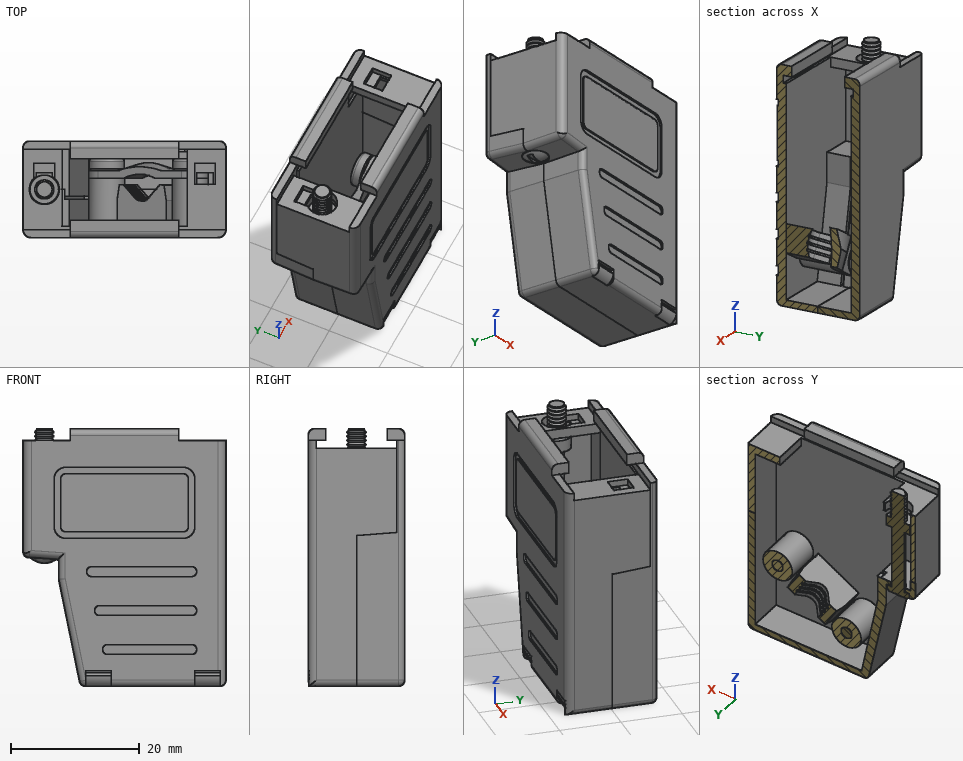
import cadquery as cq
import math


width = 31.5
depth = 15.0
height = 40.0
half_depth = depth / 2
side_radius = 1.3
edge_radius = 1.0

neck_x = 5.5
taper_top_z = 16.65
taper_foot_x = 8.9
shoulder_z = 20.0
shoulder_fall = 0.4
front_draft = 0.25
back_draft = 0.5

side_wall = 1.3
wall_y = half_depth - side_wall
rim_z = 38.15
deck_z = 36.95
deck_thickness = 1.6
tongue_left = 7.3
tongue_width = 16.9
tongue_depth = 2.75

joint_z = 23.4
joint_rise = 0.5

end_wall = 1.35
floor_wall = 1.2
front_inner_y = -5.7
cavity_neck_x = 7.2
cavity_foot_x = 10.2
shoulder_floor_z = 21.6
opening_left = 6.1
opening_right = 25.5
lining_y = 5.85
lining_right = 25.1
lining_step_z = 31.6
lip_end_y = -1.05
lip_thickness = 0.7
lip_gap = 0.5

window_size = 3.25
window_top_y = 4.05
window_ledge = 1.5
window_ledge_depth = 1.0
window_inset = 0.35
window_lefts = [1.7, 26.65]

label_x = 15.75
label_z = 28.5
label_width = 21.85
label_height = 11.05
label_radius = 1.85
label_groove_width = 1.0
label_groove_depth = 0.3
label_panel_depth = 0.1
grip_right = 26.95
grip_height = 1.5
grip_depth = 0.3
grip_count = 3
grip_length_step = 1.25
grip_length_bottom = 14.6
grip_bottom_z = 5.7
grip_pitch = 6.05

notch_lefts = [9.75, 26.7]
notch_width = 3.95
notch_top_z = 2.4
notch_depth = 0.5
notch_lip_root_z = 2.1
notch_lip_crest_z = 1.7
notch_lip_crest_recess = 0.1
notch_lip_bulge_recess = 0.5
notch_lip_bulge_z = 0.6
notch_lip_foot_recess = 1.3
foot_height = 2.0

jack_x = 3.3
jack_bore_radius = 2.3
thread_radius = 1.5
thread_core_radius = 1.2
thread_pitch = 0.65
thread_count = 8
thread_tip = 0.25
collar_radius = 2.25
collar_length = 2.0
shank_radius = 1.2
shank_bore_radius = 1.3
head_radius = 2.1
head_bore_radius = 2.1
head_seat_z = 20.7
head_rim_z = 19.9
head_end_z = 19.05
head_bulge_radius = 1.1
head_bulge_z = 19.3
head_slot_width = 0.9
head_slot_depth = 0.5

clamp_tilt = 30.0
clamp_x = 19.5
clamp_z = 11.2
pillar_radius = 2.8
pillar_top_y = 1.7
pillar_spacing_x = 12.95
pillar_span = pillar_spacing_x / math.cos(math.radians(clamp_tilt))
strap_thickness = 1.15
strap_arch_width = 8.15
strap_arch_inner_width = 5.6
strap_arch_rise = 0.65
strap_crown_rise = 1.3
saddle_width = 8.8
saddle_depth = 4.25
saddle_top_y = 0.7
saddle_top_inset = 0.4
saddle_taper_height = 2.4
vee_half_width = 3.25
vee_depth = 2.5
vee_flank_end = 1.35
vee_bottom_height = 0.65
tooth_count = 3
tooth_width = 0.3
tooth_depth = 0.2
clamp_head_radius = 2.7
clamp_head_height = 1.45
clamp_head_dome = 0.5
clamp_head_round = 0.45
clamp_head_chamfer = 0.3
clamp_shank_radius = 0.95
clamp_shank_length = 5.6


def box(x0, x1, y0, y1, z0, z1):
    return cq.Workplane("XY").box(x1 - x0, y1 - y0, z1 - z0, centered=False).translate((x0, y0, z0))


def half_envelope(face_y, draft):
    """Solid half of the hood from the joint plane out to one large face."""
    block = (
        cq.Workplane("XZ")
        .polyline([(0, 0), (width, 0), (width, height), (0, height)])
        .close()
        .extrude(-face_y)
    )
    taper = (
        cq.Workplane("XZ")
        .polyline([(0, 0), (taper_foot_x, 0), (neck_x, taper_top_z), (0, taper_top_z)])
        .close()
        .extrude(-face_y)
    )
    end = [(0, 0), (face_y, 0), (face_y, shoulder_z + draft), (0, shoulder_z)]
    end_wire = cq.Wire.makePolygon([cq.Vector(0, y, z) for y, z in end], close=True)
    under = cq.Solid.extrudeLinear(end_wire, [], cq.Vector(neck_x, 0, -shoulder_fall))
    half = block.cut(taper).cut(cq.Workplane(under))
    face = "<Y" if face_y < 0 else ">Y"
    corner_points = [(0, shoulder_z + draft / 2), (taper_foot_x, 0), (width, 0)]
    corners = cq.Workplane()
    for x, z in corner_points:
        corners = corners.add(half.edges(cq.NearestToPointSelector((x, face_y / 2, z))))
    half = half.newObject(corners.vals()).fillet(edge_radius)
    return half.faces(face).edges().fillet(edge_radius)


def wall_profile(inset):
    """Cavity outline in X and Z; the taper wall is cut deeper by the inset."""
    return [
        (end_wall, deck_z - deck_thickness),
        (end_wall, shoulder_floor_z),
        (cavity_neck_x - inset, shoulder_floor_z),
        (cavity_neck_x - inset, taper_top_z),
        (cavity_foot_x - inset, floor_wall),
        (width - end_wall, floor_wall),
        (width - end_wall, deck_z - deck_thickness),
    ]


def prism(points, y0, y1):
    """Outline in X and Z extruded from y0 to y1."""
    return cq.Workplane("XZ", origin=(0, y1, 0)).polyline(points).close().extrude(y1 - y0)


def y_cylinder(x, z, radius, y0, y1):
    return cq.Workplane("XZ", origin=(x, y1, z)).circle(radius).extrude(y1 - y0)


def z_cylinder(x, radius, z0, z1):
    return cq.Workplane("XY", origin=(x, 0, z0)).circle(radius).extrude(z1 - z0)


def tilt(body):
    """Move a clamp body from its own upright frame into the hood."""
    return body.rotate((0, 0, 0), (0, 1, 0), -clamp_tilt).translate((clamp_x, 0, clamp_z))


def hood():
    """Both shells as one hollow shape, before they are parted."""
    shape = half_envelope(-half_depth, front_draft)
    shape = shape.union(half_envelope(half_depth, back_draft))

    foot = box(notch_lefts[-1], width, -half_depth, -wall_y, 0, foot_height)
    shape = shape.union(foot.edges(">X and <Z").fillet(edge_radius))
    rounding = box(0, width, -half_depth, half_depth, 0, height).edges("|Z and <Y").fillet(side_radius)
    shape = shape.intersect(rounding)

    tongue_right = tongue_left + tongue_width
    tongue_y = half_depth - tongue_depth
    shape = shape.cut(box(0, tongue_left, -half_depth, half_depth, rim_z, height))
    shape = shape.cut(box(tongue_right, width, -half_depth, half_depth, rim_z, height))
    shape = shape.cut(box(0, width, -wall_y, wall_y, deck_z, rim_z))
    shape = shape.cut(box(0, width, -tongue_y, tongue_y, rim_z, height))

    shape = shape.cut(prism(wall_profile(0), front_inner_y, wall_y))
    shape = shape.cut(box(opening_left, opening_right, front_inner_y, wall_y, shoulder_floor_z, deck_z))
    groove = prism(wall_profile(lip_thickness), lip_end_y - lip_gap, lip_end_y)
    shape = shape.cut(groove)

    shape = shape.cut(z_cylinder(jack_x, jack_bore_radius, shoulder_floor_z, deck_z))
    shape = shape.cut(z_cylinder(jack_x, shank_bore_radius, head_seat_z, shoulder_floor_z))
    shape = shape.cut(z_cylinder(jack_x, head_bore_radius, 0, head_seat_z))
    return shape


def front_region():
    """Space taken by the front shell: the end walls above the joint, and all in
    front of Y = 0 but the lip."""
    corners = [
        (-half_depth, 0),
        (0, 0),
        (0, joint_z),
        (wall_y, joint_z + joint_rise),
        (wall_y, deck_z),
        (0, deck_z),
        (0, height),
        (-half_depth, height),
    ]
    region = cq.Workplane("YZ").polyline(corners).close().extrude(width)
    return region.cut(prism(wall_profile(lip_thickness), lip_end_y, 0))


def cut_windows(shell):
    """Square windows through the deck, each with a shallow ledge at its back."""
    for left in window_lefts:
        right = left + window_size
        ledge_y = window_top_y - window_ledge
        through_y = window_top_y - window_size
        window = box(left, right, through_y, window_top_y, deck_z - window_ledge_depth, deck_z)
        through = box(
            left + window_inset, right - window_inset, through_y, ledge_y, deck_z - deck_thickness, deck_z
        )
        window = window.union(through)
        shell = shell.cut(window)
    return shell


def label_block(margin, depth_in):
    """Rounded rectangle sunk into the front face, inset by the margin."""
    return (
        cq.Workplane("XZ", origin=(label_x, depth_in - half_depth, label_z))
        .rect(label_width - 2 * margin, label_height - 2 * margin)
        .extrude(depth_in)
        .edges("|Y")
        .fillet(label_radius - margin)
    )


def cut_decoration(shell):
    """Framed label panel and the row of grip slots."""
    frame = label_block(0, label_groove_depth).cut(label_block(label_groove_width, label_groove_depth))
    shell = shell.cut(frame).cut(label_block(label_groove_width, label_panel_depth))
    for row in range(grip_count):
        length = grip_length_bottom + row * grip_length_step
        slot = (
            cq.Workplane("XZ", origin=(grip_right - length / 2, grip_depth - half_depth, 0))
            .center(0, grip_bottom_z + row * grip_pitch)
            .slot2D(length, grip_height)
            .extrude(grip_depth)
        )
        shell = shell.cut(slot)
    return shell


def cut_notches(shell):
    """Pry notches at the foot of the front face, each with a rounded lip."""
    back_y = notch_depth - half_depth
    notch = (
        cq.Workplane("YZ")
        .moveTo(-half_depth, 0)
        .lineTo(-half_depth, notch_top_z)
        .lineTo(back_y, notch_top_z)
        .lineTo(back_y, notch_lip_root_z)
        .lineTo(notch_lip_crest_recess - half_depth, notch_lip_crest_z)
        .threePointArc(
            (notch_lip_bulge_recess - half_depth, notch_lip_bulge_z),
            (notch_lip_foot_recess - half_depth, 0),
        )
        .close()
        .extrude(notch_width)
    )
    for left in notch_lefts:
        shell = shell.cut(notch.translate((left, 0, 0)))
    return shell


def pillar_places():
    """X and Z of the two clamp pillars."""
    angle = math.radians(clamp_tilt)
    reach = pillar_span / 2
    return [
        (clamp_x + side * reach * math.cos(angle), clamp_z + side * reach * math.sin(angle))
        for side in (-1, 1)
    ]


def make_front_shell(whole):
    """Front shell with the deck, the label face and the clamp pillars."""
    shell = whole.intersect(front_region())
    shell = cut_windows(shell)
    shell = cut_decoration(shell)
    shell = cut_notches(shell)
    screw_end_y = pillar_top_y + strap_thickness - clamp_shank_length
    for x, z in pillar_places():
        shell = shell.union(y_cylinder(x, z, pillar_radius, front_inner_y, pillar_top_y))
        shell = shell.cut(y_cylinder(x, z, clamp_shank_radius, screw_end_y, pillar_top_y))
    return shell


def make_back_shell(whole):
    """Back shell with the inner lip and the raised lining of its wall."""
    shell = whole.cut(front_region())
    shell = shell.union(box(cavity_neck_x, lining_right, lining_y, wall_y, shoulder_floor_z, deck_z))
    lower_lining = prism(wall_profile(0), lining_y, wall_y)
    lower_lining = lower_lining.intersect(box(cavity_neck_x, width, 0, half_depth, 0, lining_step_z))
    return shell.union(lower_lining)


def make_jack_screw():
    """Threaded screw with a collar and a slotted domed head facing the cable end."""
    thread_top = height - thread_tip
    thread_end = thread_top - thread_count * thread_pitch
    profile = (
        cq.Workplane("XZ")
        .moveTo(0, head_end_z)
        .threePointArc((head_bulge_radius, head_bulge_z), (head_radius, head_rim_z))
        .lineTo(head_radius, head_seat_z)
        .lineTo(shank_radius, head_seat_z)
        .lineTo(shank_radius, thread_end - collar_length)
        .lineTo(collar_radius, thread_end - collar_length)
        .lineTo(collar_radius, thread_end)
        .lineTo(thread_core_radius, thread_end)
    )
    for turn in range(thread_count):
        root_z = thread_end + turn * thread_pitch
        profile = profile.lineTo(thread_radius, root_z + thread_pitch / 2)
        profile = profile.lineTo(thread_core_radius, root_z + thread_pitch)
    profile = profile.lineTo(thread_core_radius, height).lineTo(0, height).close()
    screw = profile.revolve(360, (0, 0), (0, 1))
    slot = box(
        -head_radius, head_radius, -head_slot_width / 2, head_slot_width / 2,
        head_end_z, head_end_z + head_slot_depth,
    )
    return screw.cut(slot).translate((jack_x, 0, 0))


def strap_section(rise, z):
    """Outline of the strap in X and Y, with its upper arch of the given height."""
    top_y = pillar_top_y + strap_thickness
    reach = pillar_span / 2 + pillar_radius
    outer = strap_arch_width / 2
    inner = strap_arch_inner_width / 2
    return (
        cq.Workplane("XY", origin=(0, 0, z))
        .moveTo(-reach, pillar_top_y)
        .lineTo(-inner, pillar_top_y)
        .threePointArc((0, pillar_top_y + strap_arch_rise), (inner, pillar_top_y))
        .lineTo(reach, pillar_top_y)
        .lineTo(reach, top_y)
        .lineTo(outer, top_y)
        .threePointArc((0, top_y + rise), (-outer, top_y))
        .lineTo(-reach, top_y)
        .close()
        .val()
    )


def make_strap():
    """Bar with round ends over the pillars and a crowned arch over the cable."""
    sections = [
        strap_section(strap_arch_rise, -pillar_radius),
        strap_section(strap_crown_rise, 0),
        strap_section(strap_arch_rise, pillar_radius),
    ]
    bar = cq.Workplane(cq.Solid.makeLoft(sections, True))
    reach = pillar_span / 2 + pillar_radius
    plan = cq.Workplane("XZ").slot2D(2 * reach, 2 * pillar_radius).extrude(half_depth, both=True)
    strap = tilt(bar.intersect(plan))
    for x, z in pillar_places():
        strap = strap.cut(
            y_cylinder(x, z, clamp_shank_radius, pillar_top_y, pillar_top_y + strap_thickness)
        )
    return strap


def vee_prism(extra_depth, z0, z1):
    """Vee space for the cable, with a blunt bottom."""
    half = vee_half_width + extra_depth
    bottom_y = saddle_top_y - vee_depth - extra_depth
    flank_y = bottom_y + vee_bottom_height
    return (
        cq.Workplane("XY", origin=(0, 0, z0))
        .moveTo(-half, saddle_top_y)
        .lineTo(-vee_flank_end, flank_y)
        .threePointArc((0, bottom_y), (vee_flank_end, flank_y))
        .lineTo(half, saddle_top_y)
        .close()
        .extrude(z1 - z0)
    )


def make_saddle():
    """Block between the pillars with a toothed vee for the cable."""
    half = saddle_width / 2
    body = (
        cq.Workplane("XY")
        .moveTo(-half, front_inner_y)
        .lineTo(-half, saddle_top_y - saddle_taper_height)
        .lineTo(-half + saddle_top_inset, saddle_top_y)
        .lineTo(half - saddle_top_inset, saddle_top_y)
        .lineTo(half, saddle_top_y - saddle_taper_height)
        .lineTo(half, front_inner_y)
        .close()
        .extrude(saddle_depth / 2, both=True)
    )
    body = body.cut(vee_prism(0, -saddle_depth / 2, saddle_depth / 2))
    pitch = saddle_depth / (tooth_count + 1)
    for tooth in range(tooth_count):
        middle = -saddle_depth / 2 + (tooth + 1) * pitch
        body = body.cut(vee_prism(tooth_depth, middle - tooth_width / 2, middle + tooth_width / 2))
    return tilt(body)


def make_clamp_screw(x, z):
    """Round-headed screw through the strap into its pillar."""
    seat_y = pillar_top_y + strap_thickness
    rim_y = seat_y + clamp_head_height
    head = y_cylinder(x, z, clamp_head_radius, seat_y, rim_y).faces("<Y").chamfer(clamp_head_chamfer)
    dome = y_cylinder(x, z, clamp_head_radius, rim_y, rim_y + clamp_head_dome)
    dome = dome.faces(">Y").edges().fillet(clamp_head_round)
    shank = y_cylinder(x, z, clamp_shank_radius, seat_y - clamp_shank_length, seat_y)
    return head.union(dome).union(shank)


whole_hood = hood()
front_shell = make_front_shell(whole_hood)
back_shell = make_back_shell(whole_hood)
jack_screw = make_jack_screw()
strap = make_strap()
saddle = make_saddle()
clamp_screws = [make_clamp_screw(x, z) for x, z in pillar_places()]

bodies = [front_shell, back_shell, jack_screw, strap, saddle, *clamp_screws]
result = cq.Compound.makeCompound([body.solids().val() for body in bodies])